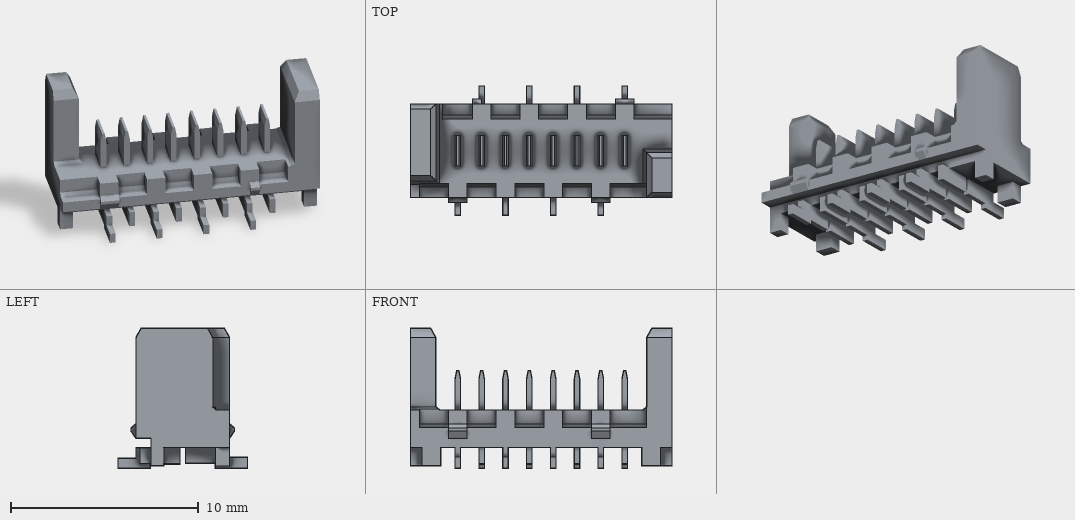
import cadquery as cq

LENGTH = 13.94
HALF_LENGTH = LENGTH / 2
DEPTH = 5.0
HALF_DEPTH = DEPTH / 2
TOTAL_HEIGHT = 7.47
BODY_BOTTOM = 1.1
BODY_TOP = 3.12

UNDERCUT_TOP = 1.6
UNDERCUT_Y = 1.7

PIN_COUNT = 8
PITCH = 1.27
PIN_WIDTH = 0.31
PIN_X = [(i - (PIN_COUNT - 1) / 2) * PITCH for i in range(PIN_COUNT)]
FRONT_PINS = PIN_X[0::2]
REAR_PINS = PIN_X[1::2]
BLADE_DEPTH = 1.64
BLADE_TOP = 5.2
BLADE_TAPER_START = 4.75
BLADE_TIP_WIDTH = 0.13
FOOT_TIP_Y = 3.45
FOOT_ELBOW_Y = HALF_DEPTH
FOOT_HEEL_Y = 1.73
FRONT_FOOT_HEIGHT = 0.59
FOOT_INNER_Y = 0.14
STUB_BOTTOM = 0.26
REAR_FOOT_DROP = 0.045
STUB_OUTER_Y = 2.29

PILLAR_WIDTH = 1.36
LEFT_PILLAR_FRONT = -1.6
RIGHT_PILLAR_REAR = -0.1
PILLAR_CHAMFER_WIDTH = 0.28
PILLAR_CHAMFER_HEIGHT = 0.5
FLARE_WIDTH = 0.2
FLARE_HEIGHT = 0.15

RIB_WIDTH = 1.0
HALF_RIB = RIB_WIDTH / 2
POCKET_FLOOR = 2.18
POCKET_SLOPE_WIDTH = 0.19
POCKET_SLOPE_HEIGHT = 0.18
FRONT_POCKET_DEPTH = 0.75
REAR_POCKET_DEPTH = 0.8
FRONT_POCKET_START = -6.5
FRONT_POCKET_END = HALF_LENGTH - PILLAR_WIDTH
REAR_POCKET_START = -5.25

BUMP_REACH = 0.26
BUMP_BOTTOM = 1.6
BUMP_NOSE_BOTTOM = 1.98
BUMP_NOSE_TOP = 2.15
BUMP_TOP = 2.37

LEG_BOTTOM = 0.13
FRONT_LEG_INSET = 0.61
FRONT_LEG_WIDTH = 1.01
FRONT_LEG_DEPTH = 0.75
REAR_LEG_SIZE = 0.7


def box(x0, x1, y0, y1, z0, z1):
    """Box between two opposite corners."""
    return cq.Workplane("XY").box(x1 - x0, y1 - y0, z1 - z0, centered=False).translate((x0, y0, z0))


def prism_along_x(points, x0, x1):
    """Extrude a (y, z) outline from x0 to x1."""
    return cq.Workplane("YZ").workplane(offset=x0).polyline(points).close().extrude(x1 - x0)


def prism_along_y(points, y0, y1):
    """Extrude an (x, z) outline from y0 to y1."""
    return cq.Workplane("XZ").workplane(offset=-y1).polyline(points).close().extrude(y1 - y0)


def make_body():
    """Base block with the rear undercut."""
    outline = [
        (-HALF_DEPTH, BODY_BOTTOM),
        (UNDERCUT_Y, BODY_BOTTOM),
        (UNDERCUT_Y, UNDERCUT_TOP),
        (HALF_DEPTH, UNDERCUT_TOP),
        (HALF_DEPTH, BODY_TOP),
        (-HALF_DEPTH, BODY_TOP),
    ]
    return prism_along_x(outline, -HALF_LENGTH, HALF_LENGTH)


def make_pillar(side, front, rear, front_flare, rear_flare):
    """Pillar at the end given by side (-1 or 1), chamfered on top and flared at its foot."""
    outer_x = side * HALF_LENGTH
    inner_x = side * (HALF_LENGTH - PILLAR_WIDTH)
    flare_top = BODY_TOP + FLARE_HEIGHT
    chamfer_start = TOTAL_HEIGHT - PILLAR_CHAMFER_HEIGHT
    across = [
        (outer_x, BODY_TOP),
        (inner_x - side * FLARE_WIDTH, BODY_TOP),
        (inner_x, flare_top),
        (inner_x, chamfer_start),
        (inner_x + side * PILLAR_CHAMFER_WIDTH, TOTAL_HEIGHT),
        (outer_x, TOTAL_HEIGHT),
    ]
    along = [
        (front - front_flare, BODY_TOP),
        (front, flare_top),
        (front, chamfer_start),
        (front + PILLAR_CHAMFER_WIDTH, TOTAL_HEIGHT),
        (rear - PILLAR_CHAMFER_WIDTH, TOTAL_HEIGHT),
        (rear, chamfer_start),
        (rear, flare_top),
        (rear + rear_flare, BODY_TOP),
    ]
    prism = prism_along_y(across, -HALF_DEPTH, HALF_DEPTH)
    return prism.intersect(prism_along_x(along, -HALF_LENGTH, HALF_LENGTH))


def make_pockets(side, depth, start, end, rib_centers):
    """Cutter for the edge pockets on one long side (-1 front, 1 rear), leaving the ribs."""
    inner_y = HALF_DEPTH - depth
    cutter_top = BODY_TOP + FLARE_HEIGHT
    outline = [
        (side * HALF_DEPTH, POCKET_FLOOR),
        (side * (inner_y + POCKET_SLOPE_WIDTH), POCKET_FLOOR),
        (side * inner_y, POCKET_FLOOR + POCKET_SLOPE_HEIGHT),
        (side * inner_y, cutter_top),
        (side * HALF_DEPTH, cutter_top),
    ]
    cutter = prism_along_x(outline, start, end)
    for x in rib_centers:
        rib = box(x - HALF_RIB, x + HALF_RIB, -HALF_DEPTH, HALF_DEPTH, POCKET_FLOOR, cutter_top)
        cutter = cutter.cut(rib)
    return cutter


def make_bump(side, x0, x1):
    """Wedge-shaped locking bump on one long side."""
    outline = [
        (side * HALF_DEPTH, BUMP_BOTTOM),
        (side * (HALF_DEPTH + BUMP_REACH), BUMP_NOSE_BOTTOM),
        (side * (HALF_DEPTH + BUMP_REACH), BUMP_NOSE_TOP),
        (side * HALF_DEPTH, BUMP_TOP),
        (side * (HALF_DEPTH - BUMP_REACH), BUMP_TOP),
        (side * (HALF_DEPTH - BUMP_REACH), BUMP_BOTTOM),
    ]
    return prism_along_x(outline, x0, x1)


def make_legs(side):
    """Front and rear standoff legs at one end."""
    rear_leg = box(
        -HALF_LENGTH, -HALF_LENGTH + REAR_LEG_SIZE,
        UNDERCUT_Y - REAR_LEG_SIZE, UNDERCUT_Y,
        LEG_BOTTOM, BODY_BOTTOM,
    )
    front_x = -HALF_LENGTH + FRONT_LEG_INSET
    front_leg = box(
        front_x, front_x + FRONT_LEG_WIDTH,
        -HALF_DEPTH, -HALF_DEPTH + FRONT_LEG_DEPTH,
        LEG_BOTTOM, BODY_BOTTOM,
    )
    legs = rear_leg.add(front_leg).combine()
    return legs if side < 0 else legs.mirror("YZ")


def make_contact(x, side):
    """Tapered blade above, and a soldering foot below that points to the given side."""
    half = PIN_WIDTH / 2
    blade_outline = [
        (x - half, BODY_TOP),
        (x + half, BODY_TOP),
        (x + half, BLADE_TAPER_START),
        (x + BLADE_TIP_WIDTH / 2, BLADE_TOP),
        (x - BLADE_TIP_WIDTH / 2, BLADE_TOP),
        (x - half, BLADE_TAPER_START),
    ]
    blade = prism_along_y(blade_outline, -BLADE_DEPTH / 2, BLADE_DEPTH / 2)
    drop = REAR_FOOT_DROP if side > 0 else 0
    inner_bottom = STUB_BOTTOM - drop
    foot_top = FRONT_FOOT_HEIGHT - drop
    foot_outline = [
        (side * FOOT_INNER_Y, BODY_BOTTOM),
        (side * FOOT_INNER_Y, inner_bottom),
        (side * FOOT_HEEL_Y, inner_bottom),
        (side * FOOT_HEEL_Y, 0),
        (side * FOOT_TIP_Y, 0),
        (side * FOOT_TIP_Y, foot_top),
        (side * FOOT_ELBOW_Y, foot_top),
        (side * FOOT_ELBOW_Y, BODY_BOTTOM),
    ]
    foot = prism_along_x(foot_outline, x - half, x + half)
    stub_outline = [
        (-side * FOOT_INNER_Y, BODY_BOTTOM),
        (-side * FOOT_INNER_Y, STUB_BOTTOM),
        (-side * STUB_OUTER_Y, STUB_BOTTOM),
        (-side * STUB_OUTER_Y, BODY_BOTTOM),
    ]
    stub = prism_along_x(stub_outline, x - half, x + half)
    return [blade, foot, stub]


result = make_body()
result = result.union(make_pillar(-1, LEFT_PILLAR_FRONT, HALF_DEPTH, FLARE_WIDTH, 0))
result = result.union(make_pillar(1, -HALF_DEPTH, RIGHT_PILLAR_REAR, 0, FLARE_WIDTH))
result = result.cut(make_pockets(-1, FRONT_POCKET_DEPTH, FRONT_POCKET_START, FRONT_POCKET_END, FRONT_PINS))
result = result.cut(make_pockets(1, REAR_POCKET_DEPTH, REAR_POCKET_START, HALF_LENGTH, REAR_PINS))

for rib_x in (FRONT_PINS[0], FRONT_PINS[-1]):
    result = result.union(make_bump(-1, rib_x - HALF_RIB, rib_x + HALF_RIB))
result = result.union(make_bump(1, REAR_PINS[0] - HALF_RIB, REAR_PINS[0]))
result = result.union(make_bump(1, REAR_PINS[-1] - HALF_RIB, REAR_PINS[-1] + HALF_RIB))

for end in (-1, 1):
    result = result.union(make_legs(end))

for pins, foot_side in ((FRONT_PINS, -1), (REAR_PINS, 1)):
    for pin_x in pins:
        for piece in make_contact(pin_x, foot_side):
            result = result.union(piece)